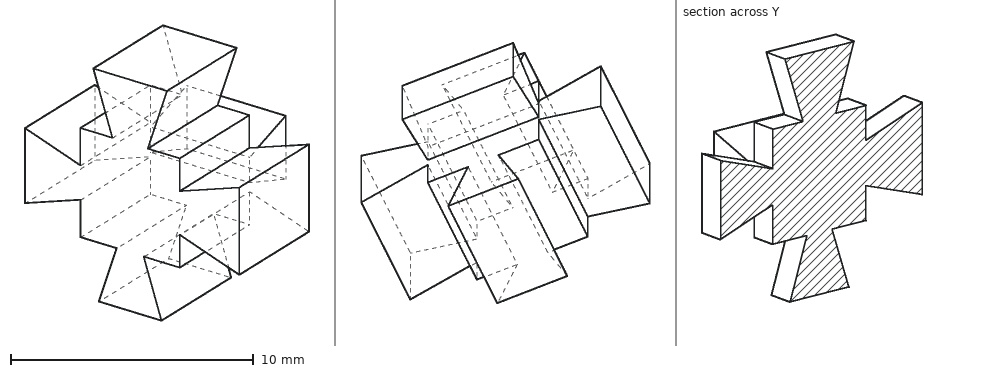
import cadquery as cq

cube_side = 5.0
half_side = cube_side / 2

length_per_flare = 3

side_tails = [
    (0, 3.0, 2.0),
    (90, 2.9, 1.78),
    (180, 2.8, 1.58),
    (270, 2.69, 1.37),
]
back_tail_length = 2.6
back_tail_root_width = 1.16


def dovetail(length, root_width):
    """Tail pointing along +X from the cube face, running the full cube depth in Y."""
    half_root = root_width / 2
    half_tip = half_root + length / length_per_flare
    tip_x = half_side + length
    return (
        cq.Workplane("XZ")
        .polyline([
            (0, -half_root),
            (half_side, -half_root),
            (tip_x, -half_tip),
            (tip_x, half_tip),
            (half_side, half_root),
            (0, half_root),
        ])
        .close()
        .extrude(half_side, both=True)
    )


result = cq.Workplane("XY").box(cube_side, cube_side, cube_side)

for direction, length, root_width in side_tails:
    tail = dovetail(length, root_width).rotate((0, 0, 0), (0, 1, 0), -direction)
    result = result.union(tail)

back_tail = dovetail(back_tail_length, back_tail_root_width).rotate((0, 0, 0), (0, 0, 1), 90)
result = result.union(back_tail)